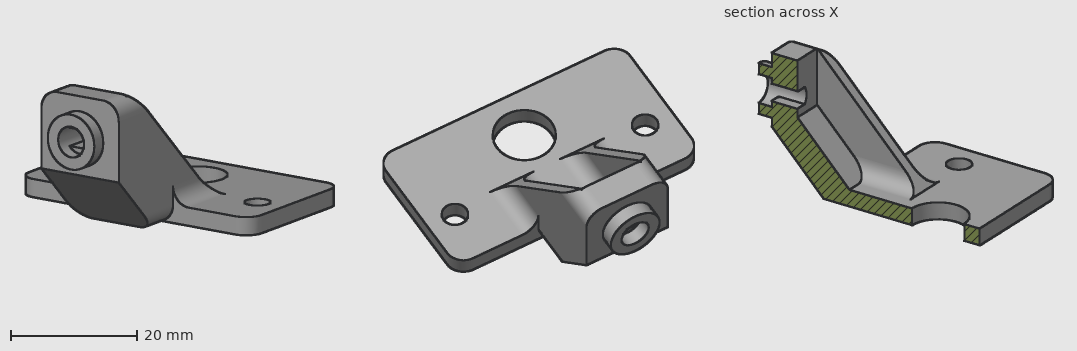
import cadquery as cq

plate_width = 45.0
plate_depth = 25.0
plate_thickness = 3.0
corner_radius = 3.0
large_hole_diameter = 10.0
large_hole_y = 17.0
mount_hole_diameter = 4.2
mount_hole_spacing = 35.0
mount_hole_y = 9.0

overall_depth = 42.5
arm_width = 15.0
arm_height = 23.0
arm_front_y = -15.0
arm_heel_y = -5.0
head_thickness = 5.0
head_back_y = arm_front_y + head_thickness
arm_toe_y = head_back_y + arm_height - plate_thickness
lower_edge_z = arm_heel_y - arm_front_y

wall_thickness = 2.02
pocket_width = arm_width - 2 * wall_thickness
pocket_floor_end_z = plate_thickness - head_back_y

boss_diameter = 9.0
boss_length = overall_depth - plate_depth + arm_front_y
boss_z = 16.0
bore_diameter = 5.0
bore_depth = boss_length
slot_height = 3.0


def make_plate():
    plate = (
        cq.Workplane("XY")
        .rect(plate_width, plate_depth)
        .extrude(plate_thickness)
        .edges("|Z")
        .fillet(corner_radius)
        .translate((0, plate_depth / 2, 0))
    )
    large_hole = cq.Workplane("XY").center(0, large_hole_y).circle(large_hole_diameter / 2)
    mount_holes = (
        cq.Workplane("XY")
        .center(0, mount_hole_y)
        .pushPoints([(-mount_hole_spacing / 2, 0), (mount_hole_spacing / 2, 0)])
        .circle(mount_hole_diameter / 2)
    )
    return plate.cut(large_hole.extrude(plate_thickness)).cut(mount_holes.extrude(plate_thickness))


def side_prism(points, width):
    """Extrude a (Y, Z) outline symmetrically about X = 0."""
    return cq.Workplane("YZ").polyline(points).close().extrude(width / 2, both=True)


def make_foot_fillets():
    """Concave fillets joining the outer arm walls to the top of the plate."""
    half_arm = arm_width / 2
    half_foot = half_arm + corner_radius
    fillet_top_z = plate_thickness + corner_radius
    return (
        cq.Workplane("XZ")
        .moveTo(-half_foot, plate_thickness)
        .radiusArc((-half_arm, fillet_top_z), -corner_radius)
        .lineTo(half_arm, fillet_top_z)
        .radiusArc((half_foot, plate_thickness), -corner_radius)
        .close()
        .extrude(-arm_toe_y)
    )


def make_arm():
    bar_length = arm_toe_y - arm_front_y
    bar = (
        cq.Workplane("XY")
        .box(arm_width, bar_length, arm_height, centered=(True, False, False))
        .edges("|Y")
        .fillet(corner_radius)
        .translate((0, arm_front_y, 0))
    )
    side_outline = [
        (0, 0),
        (arm_heel_y, 0),
        (arm_front_y, lower_edge_z),
        (arm_front_y, arm_height),
        (head_back_y, arm_height),
        (arm_toe_y, plate_thickness),
        (0, plate_thickness),
    ]
    side_width = arm_width + 2 * corner_radius
    return bar.union(make_foot_fillets()).intersect(side_prism(side_outline, side_width))


def make_pocket():
    channel_length = arm_toe_y - head_back_y
    channel = (
        cq.Workplane("XY")
        .box(pocket_width, channel_length, arm_height, centered=(True, False, False))
        .edges("|Y and <Z")
        .fillet(corner_radius)
        .translate((0, head_back_y, plate_thickness))
    )
    above_floor = [
        (arm_toe_y, plate_thickness),
        (0, plate_thickness),
        (head_back_y, pocket_floor_end_z),
        (head_back_y, arm_height),
        (arm_toe_y, arm_height),
    ]
    return channel.intersect(side_prism(above_floor, pocket_width))


def front_cylinder(diameter, length):
    """Cylinder on the boss axis, running back from the boss tip."""
    boss_tip_y = arm_front_y - boss_length
    return (
        cq.Workplane("XZ", origin=(0, boss_tip_y, boss_z))
        .circle(diameter / 2)
        .extrude(-length)
    )


def make_slotted_bore():
    through_length = boss_length + head_thickness
    round_bore = front_cylinder(bore_diameter, bore_depth)
    slot_bar = (
        cq.Workplane("XZ", origin=(0, head_back_y, boss_z))
        .rect(bore_diameter, slot_height)
        .extrude(through_length)
    )
    slot = front_cylinder(bore_diameter, through_length).intersect(slot_bar)
    return round_bore.union(slot)


result = (
    make_plate()
    .union(make_arm())
    .cut(make_pocket())
    .union(front_cylinder(boss_diameter, boss_length))
    .cut(make_slotted_bore())
)